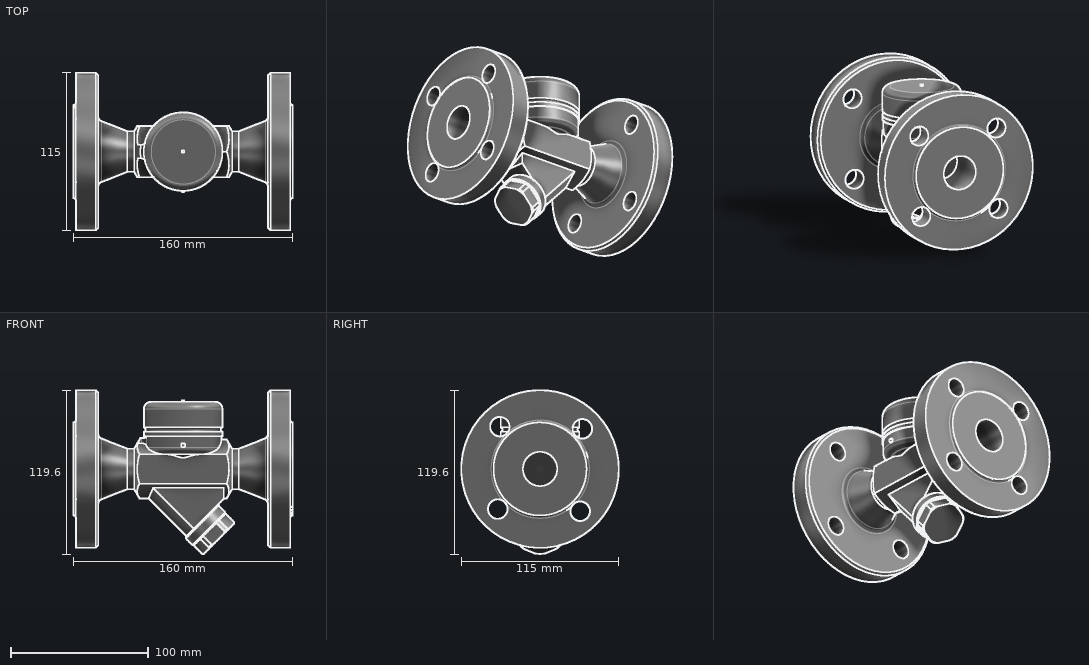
import cadquery as cq
import math

LENGTH = 160.0
FLANGE_DIAMETER = 115.0
FLANGE_CHAMFER = 2.0
RAISED_FACE_HEIGHT = 2.0
FLANGE_FACE_X = LENGTH / 2 - RAISED_FACE_HEIGHT
FLANGE_BACK_X = 61.8
RAISED_FACE_DIAMETER = 67.8
BOLT_HOLE_DIAMETER = 14.0
BOLT_CIRCLE_DIAMETER = 85.0
BOLT_HOLE_COUNT = 4
FIRST_BOLT_ANGLE = 43.5
NECK_RADIUS = 14.9
NECK_X = 40.6
CONE_ANGLE = math.radians(21.5)
CONE_FILLET_TANGENT = 2.2
BORE_DIAMETER = 25.0

BARREL_FLATS = 37.5
BARREL_CORNER_RADIUS = BARREL_FLATS / math.sqrt(3)
BARREL_END_X = 35.7
BARREL_CHAMFER_ANGLE = math.radians(60)
LUG_WIDTH = 10.0
LUG_TOP_Z = 22.7
LUG_BOTTOM_Z = 12.8
LUG_INNER_X = -16.0
LUG_FILLET = 3.5

HEAD_RADIUS = 28.0
HEAD_TOP_Z = 23.8
HEAD_BOTTOM_Z = 10.5
HEAD_FILLET = 5.1
HEAD_NECK_RADIUS = 18.5
HEAD_NECK_FILLET = 3.5
STUD_RADIUS = 1.52
STUD_Z = 17.3

LEG_AXIS_X = -24.8
LEG_CORNER_RADIUS = 15.5
LEG_END = 54.0
LEG_RIGHT_X = 29.5
LEG_TOP_Z = -12.8
LEG_WEB_REACH = 32.0

COLLAR_RADIUS = 17.0
COLLAR_LENGTH = 8.5
COLLAR_CHAMFER = 0.8
PLUG_FLATS = 30.0
PLUG_TURNED_RADIUS = 16.5
PLUG_HEX_LENGTH = 9.6
PLUG_CHAMFER = 0.8

COVER_RADIUS = 57.5 / 2
COVER_TOP_Z = 49.0
COVER_FILLET = 5.3
GROOVE_BOTTOM_Z = 27.0
GROOVE_TOP_Z = 30.2
GROOVE_DEPTH = 1.3
TIP_DIAMETER = 2.0
TIP_HEIGHT = 1.0


def hexagon(corner_radius, first_angle):
    """Corner points of a regular hexagon."""
    angles = [math.radians(first_angle + 60 * i) for i in range(6)]
    return [(corner_radius * math.cos(a), corner_radius * math.sin(a)) for a in angles]


def make_pipe_end():
    """Flange, cone and neck on the -X side, with a blind bore and bolt holes."""
    flange_radius = FLANGE_DIAMETER / 2
    raised_radius = RAISED_FACE_DIAMETER / 2
    cone_foot_radius = NECK_RADIUS + (FLANGE_BACK_X - NECK_X) * math.tan(CONE_ANGLE)
    fillet_start_x = FLANGE_BACK_X - CONE_FILLET_TANGENT * math.cos(CONE_ANGLE)
    fillet_start_radius = cone_foot_radius - CONE_FILLET_TANGENT * math.sin(CONE_ANGLE)
    end = (
        cq.Workplane("XY")
        .moveTo(-BARREL_END_X, 0)
        .lineTo(-BARREL_END_X, NECK_RADIUS)
        .lineTo(-NECK_X, NECK_RADIUS)
        .lineTo(-fillet_start_x, fillet_start_radius)
        .tangentArcPoint((-FLANGE_BACK_X, cone_foot_radius + CONE_FILLET_TANGENT), relative=False)
        .lineTo(-FLANGE_BACK_X, flange_radius - FLANGE_CHAMFER)
        .lineTo(-FLANGE_BACK_X - FLANGE_CHAMFER, flange_radius)
        .lineTo(-FLANGE_FACE_X, flange_radius)
        .lineTo(-FLANGE_FACE_X, raised_radius + RAISED_FACE_HEIGHT)
        .radiusArc((-LENGTH / 2, raised_radius), RAISED_FACE_HEIGHT)
        .lineTo(-LENGTH / 2, 0)
        .close()
        .revolve(360, (0, 0), (1, 0))
    )
    bolt_holes = (
        cq.Workplane("YZ", origin=(-LENGTH / 2, 0, 0))
        .polarArray(BOLT_CIRCLE_DIAMETER / 2, FIRST_BOLT_ANGLE, 360, BOLT_HOLE_COUNT)
        .circle(BOLT_HOLE_DIAMETER / 2)
        .extrude(LENGTH / 2 - FLANGE_BACK_X)
    )
    bore = (
        cq.Workplane("YZ", origin=(-LENGTH / 2, 0, 0))
        .circle(BORE_DIAMETER / 2)
        .extrude(LENGTH / 2 - NECK_X)
    )
    return end.cut(bolt_holes).cut(bore)


def make_barrel():
    """Hexagonal barrel with a lug on its top ridge, both trimmed by the end cones."""
    prism = (
        cq.Workplane("YZ", origin=(-BARREL_END_X, 0, 0))
        .polyline(hexagon(BARREL_CORNER_RADIUS, 90))
        .close()
        .extrude(2 * BARREL_END_X)
    )
    lug = cq.Workplane("XY").box(
        BARREL_END_X + LUG_INNER_X, LUG_WIDTH, LUG_TOP_Z - LUG_BOTTOM_Z, centered=(False, True, False)
    ).translate((-BARREL_END_X, 0, LUG_BOTTOM_Z))
    peak_radius = NECK_RADIUS + BARREL_END_X * math.tan(BARREL_CHAMFER_ANGLE)
    end_cones = (
        cq.Workplane("XY")
        .polyline([
            (-BARREL_END_X, 0),
            (-BARREL_END_X, NECK_RADIUS),
            (0, peak_radius),
            (BARREL_END_X, NECK_RADIUS),
            (BARREL_END_X, 0),
        ])
        .close()
        .revolve(360, (0, 0), (1, 0))
    )
    return prism.union(lug).intersect(end_cones)


def make_head():
    """Round head on a filleted neck, with a small domed stud on its -Y side."""
    neck_top_radius = HEAD_NECK_RADIUS + HEAD_NECK_FILLET
    head = (
        cq.Workplane("XZ")
        .moveTo(0, 0)
        .lineTo(HEAD_NECK_RADIUS, 0)
        .lineTo(HEAD_NECK_RADIUS, HEAD_BOTTOM_Z - HEAD_NECK_FILLET)
        .tangentArcPoint((neck_top_radius, HEAD_BOTTOM_Z), relative=False)
        .lineTo(HEAD_RADIUS - HEAD_FILLET, HEAD_BOTTOM_Z)
        .tangentArcPoint((HEAD_RADIUS, HEAD_BOTTOM_Z + HEAD_FILLET), relative=False)
        .lineTo(HEAD_RADIUS, HEAD_TOP_Z)
        .lineTo(0, HEAD_TOP_Z)
        .close()
        .revolve(360, (0, 0), (0, 1))
    )
    stud = cq.Workplane("XY").sphere(STUD_RADIUS).translate((0, -HEAD_RADIUS, STUD_Z))
    return head.union(stud)


def leg_plane(distance):
    """Workplane square to the leg axis: local x points up and to +X, local y along Y."""
    step = distance / math.sqrt(2)
    return cq.Workplane(cq.Plane(origin=(LEG_AXIS_X + step, 0, -step), xDir=(1, 0, 1), normal=(1, 0, -1)))


def make_leg():
    """Sloping leg: half a hexagon on its lower side, flat sides running up to the barrel."""
    half_width = LEG_CORNER_RADIUS * math.sqrt(3) / 2
    shoulder = LEG_CORNER_RADIUS / 2
    prism = (
        leg_plane(0)
        .polyline([
            (-LEG_CORNER_RADIUS, 0),
            (-shoulder, -half_width),
            (LEG_WEB_REACH, -half_width),
            (LEG_WEB_REACH, half_width),
            (-shoulder, half_width),
        ])
        .close()
        .extrude(LEG_END)
    )
    below_barrel = cq.Workplane("XY").box(
        LENGTH, LENGTH, LENGTH, centered=(False, True, False)
    ).translate((LEG_RIGHT_X - LENGTH, 0, LEG_TOP_Z - LENGTH))
    return prism.intersect(below_barrel)


def make_plug():
    """Strainer plug: chamfered collar and hexagon with turned corners and a chamfered end."""
    hex_start = LEG_END + COLLAR_LENGTH
    collar = leg_plane(LEG_END).circle(COLLAR_RADIUS).extrude(COLLAR_LENGTH).edges().chamfer(COLLAR_CHAMFER)
    hex_head = (
        leg_plane(hex_start)
        .polyline(hexagon(PLUG_FLATS / math.sqrt(3), 0))
        .close()
        .extrude(PLUG_HEX_LENGTH)
    )
    turned = (
        leg_plane(hex_start)
        .circle(PLUG_TURNED_RADIUS)
        .extrude(PLUG_HEX_LENGTH)
        .faces(">(1, 0, -1)")
        .chamfer(PLUG_CHAMFER)
    )
    return collar.union(hex_head.intersect(turned))


def fillet_lug(body):
    """Round the upright inner corners where the lug sides run into the head."""
    corner_x = -math.sqrt(HEAD_RADIUS ** 2 - (LUG_WIDTH / 2) ** 2)
    reach = 0.8
    corners = cq.selectors.BoxSelector(
        (corner_x - reach, -LUG_WIDTH, BARREL_FLATS / 2),
        (corner_x + reach, LUG_WIDTH, LUG_TOP_Z - reach),
    )
    return body.edges("|Z").edges(corners).fillet(LUG_FILLET)


def make_housing():
    """Barrel with its lug and head, both pipe ends, the strainer leg and its plug."""
    pipe_end = make_pipe_end()
    middle = fillet_lug(make_barrel().union(make_head()))
    return middle.union(pipe_end).union(pipe_end.mirror("YZ")).union(make_leg()).union(make_plug())


def make_cover():
    """Round cover on the head, with a rounded groove above its rim and a tip on top."""
    groove_middle_z = (GROOVE_BOTTOM_Z + GROOVE_TOP_Z) / 2
    cover = (
        cq.Workplane("XZ")
        .moveTo(0, HEAD_TOP_Z)
        .lineTo(COVER_RADIUS, HEAD_TOP_Z)
        .lineTo(COVER_RADIUS, GROOVE_BOTTOM_Z)
        .threePointArc((COVER_RADIUS - GROOVE_DEPTH, groove_middle_z), (COVER_RADIUS, GROOVE_TOP_Z))
        .lineTo(COVER_RADIUS, COVER_TOP_Z - COVER_FILLET)
        .tangentArcPoint((COVER_RADIUS - COVER_FILLET, COVER_TOP_Z), relative=False)
        .lineTo(0, COVER_TOP_Z)
        .close()
        .revolve(360, (0, 0), (0, 1))
    )
    tip = cq.Workplane("XY", origin=(0, 0, COVER_TOP_Z)).circle(TIP_DIAMETER / 2).extrude(TIP_HEIGHT)
    return cover.union(tip)


housing = make_housing()
cover = make_cover()
result = cq.Compound.makeCompound([housing.solids().val(), cover.solids().val()])